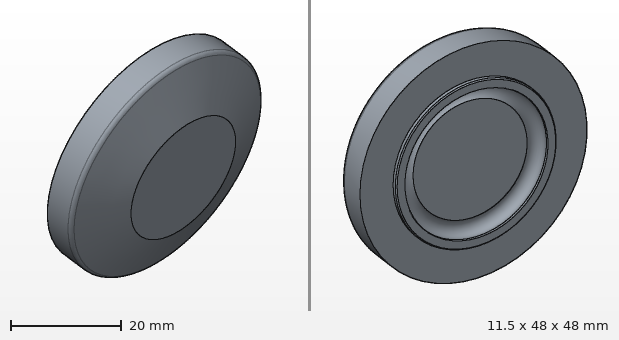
import cadquery as cq

total_thickness = 11.5
disc_radius = 24.0
cone_start = 7.1
cone_end_radius = 13.1
rim_fillet = 1.0

ring_height = 1.0
ring_radius = 17.0
ring_edge_chamfer = 0.25

recess_radius = 15.1
recess_wall = 0.55
island_radius = 12.05
island_depth = 2.2


def cylinder(start, length, radius):
    """Cylinder along +X from the given axial place."""
    return cq.Workplane("YZ").workplane(offset=start).circle(radius).extrude(length)


def make_disc():
    """Flat-backed disc with a conical front and a rounded rim."""
    profile = [
        (ring_height, 0),
        (ring_height, disc_radius),
        (cone_start, disc_radius),
        (total_thickness, cone_end_radius),
        (total_thickness, 0),
    ]
    disc = cq.Workplane("XY").polyline(profile).close().revolve(360, (0, 0, 0), (1, 0, 0))
    rim_edge = cq.selectors.BoxSelector(
        (cone_start - rim_fillet / 2, -disc_radius, -disc_radius),
        (cone_start + rim_fillet / 2, disc_radius, disc_radius),
    )
    return disc.edges(rim_edge).fillet(rim_fillet)


def make_ring():
    """Raised boss with a chamfered outer edge."""
    return cylinder(0, ring_height, ring_radius).faces("<X").edges().chamfer(ring_edge_chamfer)


def make_recess():
    """Volume removed from the boss and disc, open on the -X side."""
    half_rise = (island_depth - recess_wall) / 2
    half_width = (recess_radius - island_radius) / 2
    groove_middle = (
        recess_wall + half_rise + half_width,
        island_radius + half_width + half_rise,
    )
    return (
        cq.Workplane("XY")
        .moveTo(0, 0)
        .lineTo(0, recess_radius)
        .lineTo(recess_wall, recess_radius)
        .threePointArc(groove_middle, (island_depth, island_radius))
        .lineTo(island_depth, 0)
        .close()
        .revolve(360, (0, 0, 0), (1, 0, 0))
    )


result = make_disc().union(make_ring()).cut(make_recess())